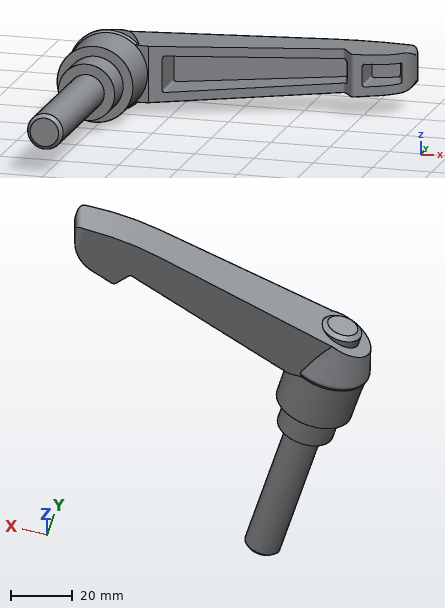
import cadquery as cq
import math


STUD_DIA = 12.0
STUD_LENGTH = 50.0
STUD_CHAMFER = 1.2
BUSHING_DIA = 19.0
BUSHING_LENGTH = 10.0
HEAD_RADIUS = 6.8
HEAD_TOP = 42.8
HEAD_CHAMFER_HEIGHT = 1.2
HEAD_CHAMFER_WIDTH = 1.7

SLEEVE_END_RADIUS = 12.8
SLEEVE_MID_RADIUS = 12.87
SLEEVE_TOP_RADIUS = 13.15
SLEEVE_TOP = 26.1

RIM_RADIUS = 13.73
RIM_BOTTOM = 27.1
RIM_TOP = 27.9
CONE_MID_RADIUS = 11.3
CONE_MID = 36.8
CONE_TOP_RADIUS = 10.1
CONE_TOP = 41.5

TOP_ANGLE = math.radians(15)
TOP_AXIS_HEIGHT = 39.93
ARM_TOP = 61.07
ARM_END = 95.02
CROWN_RADIUS = 100.0
BOTTOM_ANGLE = math.radians(20)
BOTTOM_START = 13.5
NOTCH_TOP_X = 73.5
NOTCH_TIP_X = 77.5
NOTCH_TIP_Y = 42.7
NOTCH_FILLET = 0.8
TIP_FILLET = 1.3
NOSE_RADIUS = 14.1

ARM_ROOT_X = 3.3
AXIS_HALF_WIDTH = 10.02
SIDE_SLOPE = 0.0367
END_CORNER_RADIUS = 2.9

WALL = 3.2
LONG_POCKET_START = 17.7
LONG_POCKET_END = 72.2
NOSE_POCKET_START = 80.6
NOSE_POCKET_END = 89.5
POCKET_CORNER_RADIUS = 0.9


def top_height(x):
    """Height of the slanted top plane at a given X."""
    return TOP_AXIS_HEIGHT + x * math.tan(TOP_ANGLE)


def half_width(x):
    """Half width of the arm in Z at a given X."""
    return AXIS_HALF_WIDTH - SIDE_SLOPE * x


def make_stud():
    bushing = cq.Workplane("XZ").circle(BUSHING_DIA / 2).extrude(-BUSHING_LENGTH)
    stud = cq.Workplane("XZ").circle(STUD_DIA / 2).extrude(STUD_LENGTH)
    return bushing.union(stud.faces("<Y").chamfer(STUD_CHAMFER))


def make_head():
    return (
        cq.Workplane("XY")
        .moveTo(0, RIM_TOP)
        .lineTo(HEAD_RADIUS, RIM_TOP)
        .lineTo(HEAD_RADIUS, HEAD_TOP - HEAD_CHAMFER_HEIGHT)
        .lineTo(HEAD_RADIUS - HEAD_CHAMFER_WIDTH, HEAD_TOP)
        .lineTo(0, HEAD_TOP)
        .close()
        .revolve(360, (0, 0), (0, 1))
    )


def make_hub():
    sleeve_middle = (BUSHING_LENGTH + SLEEVE_TOP) / 2
    hub = (
        cq.Workplane("XY")
        .moveTo(0, BUSHING_LENGTH)
        .lineTo(SLEEVE_END_RADIUS, BUSHING_LENGTH)
        .threePointArc((SLEEVE_MID_RADIUS, sleeve_middle), (SLEEVE_TOP_RADIUS, SLEEVE_TOP))
        .lineTo(RIM_RADIUS, RIM_BOTTOM)
        .lineTo(RIM_RADIUS, RIM_TOP)
        .threePointArc((CONE_MID_RADIUS, CONE_MID), (CONE_TOP_RADIUS, CONE_TOP))
        .lineTo(0, CONE_TOP)
        .close()
        .revolve(360, (0, 0), (0, 1))
    )
    reach = 2 * RIM_RADIUS
    above_top = (
        cq.Workplane("XY")
        .moveTo(-reach, top_height(-reach))
        .lineTo(reach, top_height(reach))
        .lineTo(-reach, top_height(reach))
        .close()
        .extrude(reach, both=True)
    )
    return hub.cut(above_top)


def make_arm_profile():
    corner_x = (ARM_TOP - TOP_AXIS_HEIGHT) / math.tan(TOP_ANGLE)
    tangent = CROWN_RADIUS * math.tan(TOP_ANGLE / 2)
    crown_start_x = corner_x - tangent * math.cos(TOP_ANGLE)
    crown_end = (corner_x + tangent, ARM_TOP)

    nose_start_x = ARM_END - NOSE_RADIUS * (1 - math.sin(BOTTOM_ANGLE))
    nose_start_y = NOTCH_TIP_Y + (nose_start_x - NOTCH_TIP_X) * math.tan(BOTTOM_ANGLE)
    nose_end_y = nose_start_y + NOSE_RADIUS * math.cos(BOTTOM_ANGLE)
    corner_radius = ARM_TOP - nose_end_y

    notch_top_y = SLEEVE_TOP + (NOTCH_TOP_X - BOTTOM_START) * math.tan(BOTTOM_ANGLE)
    profile = (
        cq.Workplane("XY")
        .moveTo(ARM_ROOT_X, SLEEVE_TOP)
        .lineTo(BOTTOM_START, SLEEVE_TOP)
        .lineTo(NOTCH_TOP_X, notch_top_y)
        .lineTo(NOTCH_TIP_X, NOTCH_TIP_Y)
        .lineTo(nose_start_x, nose_start_y)
        .tangentArcPoint((ARM_END, nose_end_y), relative=False)
        .tangentArcPoint((ARM_END - corner_radius, ARM_TOP), relative=False)
        .lineTo(*crown_end)
        .tangentArcPoint((crown_start_x, top_height(crown_start_x)), relative=False)
        .lineTo(ARM_ROOT_X, top_height(ARM_ROOT_X))
        .close()
        .extrude(AXIS_HALF_WIDTH, both=True)
    )
    notch_edges = (
        (NOTCH_TOP_X, notch_top_y, NOTCH_FILLET),
        (NOTCH_TIP_X, NOTCH_TIP_Y, TIP_FILLET),
    )
    for x, y, radius in notch_edges:
        edge = cq.selectors.NearestToPointSelector((x, y, 0))
        profile = profile.edges("|Z").edges(edge).fillet(radius)
    return profile


def make_plan(start, end, inset):
    """Tapered prism along Y whose sides are inset from the arm sides."""
    start_half = half_width(start) - inset
    end_half = half_width(end) - inset
    return (
        cq.Workplane("XZ")
        .polyline([(start, -start_half), (end, -end_half), (end, end_half), (start, start_half)])
        .close()
        .extrude(-ARM_TOP)
    )


def make_pocket(start, floor_end, floor_height, end_wall_angle):
    """Pocket cutter, open below; its floor is parallel to the slanted top and its end wall leans back."""
    wall_run = floor_height * math.tan(end_wall_angle)
    mouth_end = floor_end + wall_run
    side_profile = (
        cq.Workplane("XY")
        .moveTo(start, 0)
        .lineTo(mouth_end, 0)
        .lineTo(floor_end, floor_height)
        .lineTo(start, floor_height - (floor_end - start) * math.tan(TOP_ANGLE))
        .close()
        .extrude(AXIS_HALF_WIDTH, both=True)
    )
    pocket = side_profile.intersect(make_plan(start, mouth_end, WALL))
    pocket = pocket.edges("|Y").fillet(POCKET_CORNER_RADIUS)
    return pocket.faces(">X").edges("not |Z").fillet(POCKET_CORNER_RADIUS)


def make_arm():
    plan = make_plan(ARM_ROOT_X, ARM_END, 0).edges(">X and |Y").fillet(END_CORNER_RADIUS)
    arm = make_arm_profile().intersect(plan)
    long_floor = top_height(LONG_POCKET_END) - WALL / math.cos(TOP_ANGLE)
    nose_floor = ARM_TOP - WALL
    arm = arm.cut(make_pocket(LONG_POCKET_START, LONG_POCKET_END, long_floor, TOP_ANGLE))
    return arm.cut(make_pocket(NOSE_POCKET_START, NOSE_POCKET_END, nose_floor, BOTTOM_ANGLE))


result = make_stud().union(make_hub()).union(make_arm()).union(make_head())